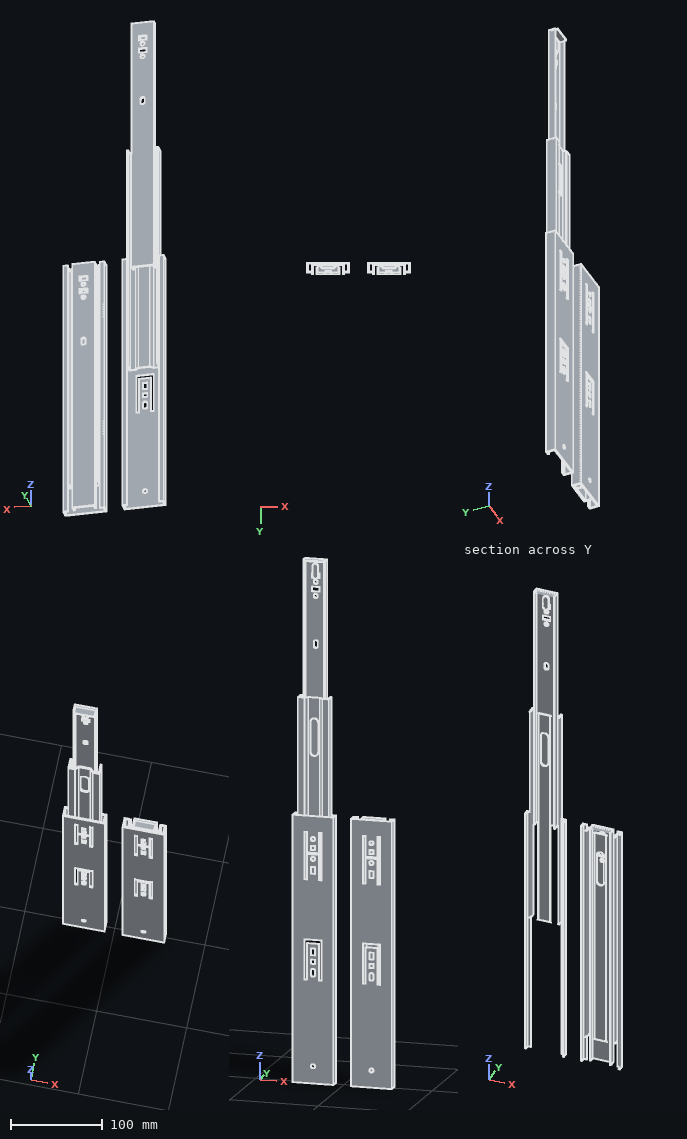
import cadquery as cq

total_width = 112.5
total_depth = 13.0
extended_height = 586.0
sheet = 1.45

outer_width = 46.5
outer_depth = 11.0
outer_length = 300.0
slide_pitch = total_width - outer_width

middle_width = 35.0
middle_length = 263.5
middle_front = sheet
flute_mouth = 20.0
flute_floor = 13.0
flute_depth = 3.5
lip_gap = 0.3
window_width = 9.0
window_length = 42.0
window_drop = 44.5

inner_width = 25.0
inner_depth = 7.9
inner_web = 2.5
inner_length = 297.0
end_tab_depth = 10.25
end_tab_thickness = 1.0
inner_front = total_depth - inner_depth
inner_wall_half = inner_width / 2 - sheet

middle_extended_top = 432.0
inner_closed_top = outer_length
middle_closed_top = 295.5

tongue_width = 13.5
slit_width = 3.0
slit_offset = (tongue_width + slit_width) / 2
upper_slit_top = 282.0
upper_slit_bottom = 228.5
bridge_slit_height = 258.0
bridge_slit_thickness = 2.0
lower_slit_top = 161.0
lower_slit_bottom = 116.0
lower_gap = 4.0

round_hole = 4.6
pilot_hole = 4.6
square_hole = 4.5
oblong_height = 7.5
long_hole_width = 4.5
cross_hole_width = 9.0
cross_hole_height = 5.0

pilot_height = 19.5
round_heights = [274.0, 252.0]
square_heights = [264.0, 136.5]
oblong_heights = [239.0, 147.5]
long_height = 124.0
long_hole_length = 9.0

inner_round_drops = [26.0, 41.5]
cross_hole_drops = [19.0, 34.0]
inner_long_drop = 95.5

catch_width = 6.5
catch_length = 17.0
catch_drop = 13.5
catch_height = 2.0


def block(width, height, front, back, x, z):
    """Box centred at x and z, reaching from Y = front to Y = back."""
    return cq.Workplane("XY").box(width, back - front, height).translate((x, (front + back) / 2, z))


def round_bar(diameter, front, back, z):
    """Cylinder along Y on the slide's centre line."""
    return cq.Workplane("XZ", origin=(0, front, z)).circle(diameter / 2).extrude(front - back)


def long_bar(width, length, front, back, z):
    """Bar along Y with a stadium outline that is long in Z."""
    return cq.Workplane("XZ", origin=(0, front, z)).slot2D(length, width, 90).extrude(front - back)


def mirrored_profile(half_outline, bottom, top):
    """Extrude along Z the outline made of a half outline and its mirror image in X."""
    other_half = [(-x, y) for x, y in reversed(half_outline)]
    height = top - bottom
    return cq.Workplane("XY", origin=(0, 0, bottom)).polyline(half_outline + other_half).close().extrude(height)


def outer_rail():
    half = outer_width / 2
    lip_tip = middle_width / 2 + lip_gap
    half_outline = [
        (half, 0),
        (half, outer_depth),
        (lip_tip, outer_depth),
        (lip_tip, outer_depth - sheet),
        (half - sheet, outer_depth - sheet),
        (half - sheet, sheet),
    ]
    rail = mirrored_profile(half_outline, 0, outer_length)

    for top, bottom in [(upper_slit_top, upper_slit_bottom), (lower_slit_top, lower_slit_bottom)]:
        for side in (-1, 1):
            rail = rail.cut(block(slit_width, top - bottom, 0, sheet, side * slit_offset, (top + bottom) / 2))

    rail = rail.cut(block(tongue_width, bridge_slit_thickness, 0, sheet, 0, bridge_slit_height))
    rail = rail.cut(block(tongue_width, lower_gap, 0, sheet, 0, lower_slit_top - lower_gap / 2))

    rail = rail.cut(round_bar(pilot_hole, 0, sheet, pilot_height))
    for z in round_heights:
        rail = rail.cut(round_bar(round_hole, 0, sheet, z))
    for z in square_heights:
        rail = rail.cut(block(square_hole, square_hole, 0, sheet, 0, z))
    for z in oblong_heights:
        rail = rail.cut(block(square_hole, oblong_height, 0, sheet, 0, z))
    return rail.cut(long_bar(long_hole_width, long_hole_length, 0, sheet, long_height))


def middle_rail(top):
    half = middle_width / 2
    web_back = middle_front + sheet
    half_outline = [
        (flute_floor / 2, middle_front + flute_depth),
        (flute_mouth / 2, middle_front),
        (half, middle_front),
        (half, total_depth),
        (half - sheet, total_depth),
        (half - sheet, web_back),
        (flute_mouth / 2, web_back),
        (flute_floor / 2, web_back + flute_depth),
    ]
    rail = mirrored_profile(half_outline, top - middle_length, top)
    window = long_bar(window_width, window_length, middle_front, web_back + flute_depth, top - window_drop)
    return rail.cut(window)


def inner_rail(top):
    half = inner_width / 2
    web_front = total_depth - inner_web
    half_outline = [
        (inner_wall_half, web_front),
        (inner_wall_half, inner_front),
        (half, inner_front),
        (half, total_depth),
    ]
    rail = mirrored_profile(half_outline, top - inner_length, top)

    for drop in inner_round_drops:
        rail = rail.cut(round_bar(round_hole, web_front, total_depth, top - drop))
    for drop in cross_hole_drops:
        rail = rail.cut(block(cross_hole_width, cross_hole_height, web_front, total_depth, 0, top - drop))
    rail = rail.cut(long_bar(long_hole_width, long_hole_length, web_front, total_depth, top - inner_long_drop))

    tab_front = total_depth - end_tab_depth
    tab = block(2 * inner_wall_half, end_tab_thickness, tab_front, total_depth, 0, top - end_tab_thickness / 2)
    catch = long_bar(catch_width, catch_length, web_front - catch_height, web_front, top - catch_drop)
    return rail.union(tab).union(catch)


rail_tops = [(middle_extended_top, extended_height), (middle_closed_top, inner_closed_top)]

outer_rails = []
middle_rails = []
inner_rails = []
for number, (middle_top, inner_top) in enumerate(rail_tops):
    place = (number * slide_pitch, 0, 0)
    outer_rails.append(outer_rail().translate(place).val())
    middle_rails.append(middle_rail(middle_top).translate(place).val())
    inner_rails.append(inner_rail(inner_top).translate(place).val())

result = cq.Compound.makeCompound([*outer_rails, *middle_rails, *inner_rails])